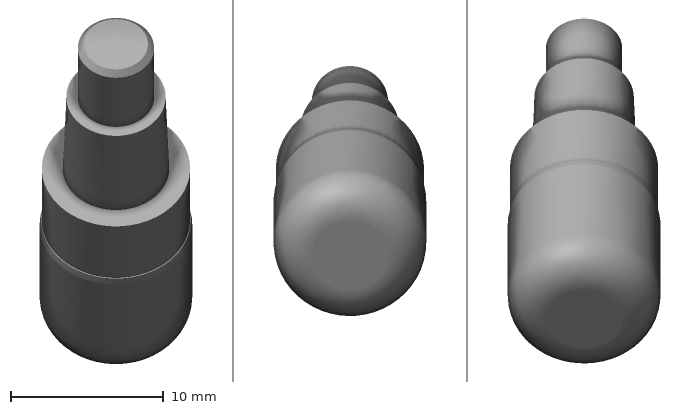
import cadquery as cq

total_height = 29.1
cap_height = 10.55
collar_top = 16.0
taper_top = 23.55

cap_radius = 5.0
collar_radius = 4.85
taper_base_radius = 3.5
taper_top_radius = 3.25
tip_radius = 2.5

cap_bottom_fillet = 2.5
cap_lip_height = 0.52
cap_lip_inset = 0.1
tip_chamfer_height = 0.38
tip_chamfer_inset = 0.4


def make_cap():
    """Solid round cap with a rounded bottom and a slightly drawn-in upper lip."""
    body = (
        cq.Workplane("XY")
        .circle(cap_radius)
        .extrude(cap_height)
        .faces("<Z")
        .edges()
        .fillet(cap_bottom_fillet)
    )
    return body.faces(">Z").edges().chamfer(cap_lip_height, cap_lip_inset)


def make_plunger():
    """Turned plunger standing on the cap: collar, tapered shank and chamfered tip."""
    half_profile = [
        (0, cap_height),
        (collar_radius, cap_height),
        (collar_radius, collar_top),
        (taper_base_radius, collar_top),
        (taper_top_radius, taper_top),
        (tip_radius, taper_top),
        (tip_radius, total_height - tip_chamfer_height),
        (tip_radius - tip_chamfer_inset, total_height),
        (0, total_height),
    ]
    return cq.Workplane("XZ").polyline(half_profile).close().revolve(360, (0, 0), (0, 1))


cap = make_cap()
plunger = make_plunger()

result = cq.Compound.makeCompound([cap.val(), plunger.val()])